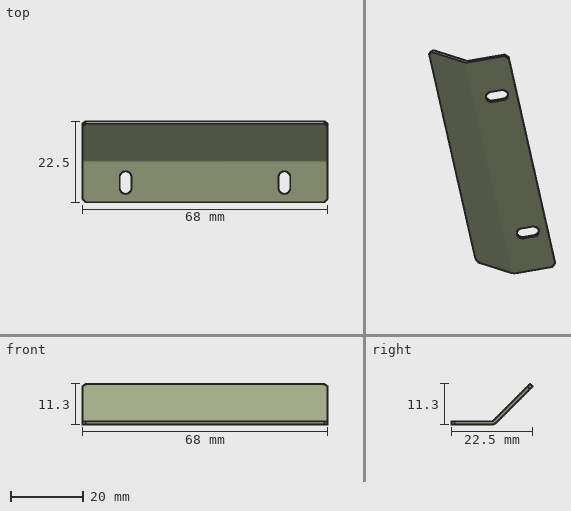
import cadquery as cq
import math

length = 68.0
thickness = 1.0
bend_angle = 45.0
inner_radius = 1.0
outer_radius = inner_radius + thickness

base_inner_length = 11.5
wing_outer_length = 15.0

corner_chamfer = 1.0

slot_width = 3.2
slot_length = 6.2
slot_spacing = 44.0
slot_front_offset = 5.5

half_angle_tan = math.tan(math.radians(bend_angle / 2))
base_flat = base_inner_length - inner_radius * half_angle_tan
wing_flat = wing_outer_length - outer_radius * half_angle_tan

bend_center_z = thickness + inner_radius


def bend_point(radius, angle):
    """Point (y, z) on a bend arc, at an angle in degrees from the base flange."""
    turn = math.radians(angle)
    return (base_flat + radius * math.sin(turn), bend_center_z - radius * math.cos(turn))


def along_wing(point):
    """Point moved from the end of the bend to the free end of the wing."""
    turn = math.radians(bend_angle)
    return (point[0] + wing_flat * math.cos(turn), point[1] + wing_flat * math.sin(turn))


def make_bent_sheet():
    """Constant-thickness bent profile in the YZ plane, extruded along X about the center."""
    outer_bend_end = bend_point(outer_radius, bend_angle)
    inner_bend_end = bend_point(inner_radius, bend_angle)
    return (
        cq.Workplane("YZ")
        .moveTo(0, 0)
        .lineTo(base_flat, 0)
        .threePointArc(bend_point(outer_radius, bend_angle / 2), outer_bend_end)
        .lineTo(*along_wing(outer_bend_end))
        .lineTo(*along_wing(inner_bend_end))
        .lineTo(*inner_bend_end)
        .threePointArc(bend_point(inner_radius, bend_angle / 2), (base_flat, thickness))
        .lineTo(0, thickness)
        .close()
        .extrude(length / 2, both=True)
    )


def chamfer_corners(sheet):
    """Bevel the two free corners of each flange, through the sheet thickness."""
    turn = math.radians(bend_angle)
    wing_normal = cq.Vector(0, -math.sin(turn), math.cos(turn))
    base_corners = cq.selectors.ParallelDirSelector(cq.Vector(0, 0, 1))
    wing_corners = cq.selectors.ParallelDirSelector(wing_normal)
    sheet = sheet.faces("<Y").edges(base_corners).chamfer(corner_chamfer)
    return sheet.faces(">Y").edges(wing_corners).chamfer(corner_chamfer)


def cut_slots(sheet):
    """Cut the two slots through the base flange, long side across the sheet."""
    slots = (
        cq.Workplane("XY")
        .pushPoints([(side * slot_spacing / 2, slot_front_offset) for side in (-1, 1)])
        .slot2D(slot_length, slot_width, 90)
        .extrude(thickness)
    )
    return sheet.cut(slots)


result = cut_slots(chamfer_corners(make_bent_sheet()))